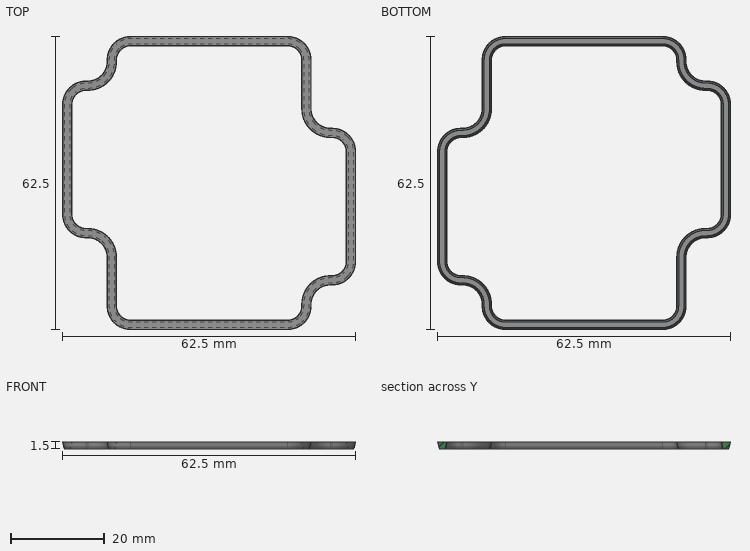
import cadquery as cq

size = 62.5
height = 1.5
band_width = 2.0
notch_depth = 9.5
notch_length = 19.55
corner_radius = 5.0
notch_radius = 4.1
edge_height = 0.45
edge_inset = 0.45
draft_inset = 0.25

half = size / 2
shoulder = half - notch_depth
long_shoulder = half - notch_length


def outline(inset):
    """Rounded notched outline as a wire, moved inward from the outer edge."""
    side = half - inset
    step = shoulder - inset
    long_step = long_shoulder - inset
    half_points = [
        (-step, side),
        (step, side),
        (step, long_step),
        (side, long_step),
        (side, -step),
        (step, -step),
    ]
    points = half_points + [(-x, -y) for x, y in half_points]
    notch_indices = (2, 5, 8, 11)
    prism = cq.Workplane("XY").polyline(points).close().extrude(height)
    for i, (x, y) in enumerate(points):
        radius = notch_radius + inset if i in notch_indices else corner_radius - inset
        corner = cq.selectors.NearestToPointSelector((x, y, height / 2))
        prism = prism.edges(corner).fillet(radius)
    return prism.faces("<Z").wires().val()


def ruled_layer(bottom_inset, top_inset, bottom, top):
    """Solid layer whose side leans between two insets of the outline."""
    lower = outline(bottom_inset).translate(cq.Vector(0, 0, bottom))
    upper = outline(top_inset).translate(cq.Vector(0, 0, top))
    return cq.Workplane(cq.Solid.makeLoft([lower, upper], True))


def band_layer(bottom_inset, top_inset, bottom, top):
    """Ring layer whose outer and inner faces lean by equal amounts."""
    body = ruled_layer(bottom_inset, top_inset, bottom, top)
    opening = ruled_layer(band_width - bottom_inset, band_width - top_inset, bottom, top)
    return body.cut(opening)


bevel = band_layer(edge_inset, draft_inset, 0, edge_height)
drafted_wall = band_layer(draft_inset, 0, edge_height, height)

result = bevel.union(drafted_wall)